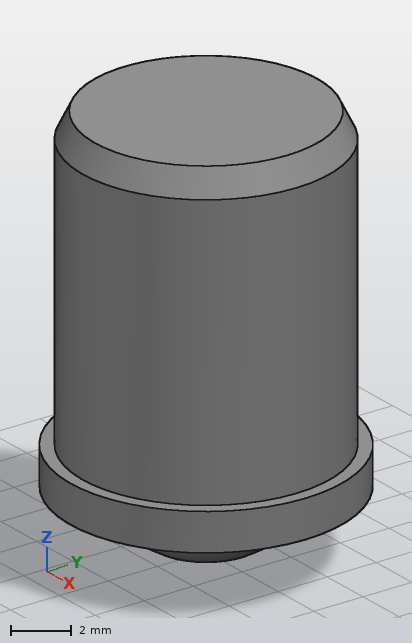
import cadquery as cq

total_height = 15.88
ball_protrusion = 2.38
body_top = total_height - ball_protrusion

body_radius = 10.0 / 2
lead_in_height = 1.0
lead_in_width = 0.5

flange_radius = 11.0 / 2
flange_thickness = 1.5

ball_radius = 8.51 / 2
ball_center_z = ball_radius - ball_protrusion


def make_sleeve():
    """Revolve the half section of the flanged sleeve about Z."""
    return (
        cq.Workplane("XZ")
        .lineTo(flange_radius, 0)
        .lineTo(flange_radius, flange_thickness)
        .lineTo(body_radius, flange_thickness)
        .lineTo(body_radius, body_top - lead_in_height)
        .lineTo(body_radius - lead_in_width, body_top)
        .lineTo(0, body_top)
        .close()
        .revolve(360, (0, 0, 0), (0, 1, 0))
    )


def make_ball():
    return cq.Workplane("XY").sphere(ball_radius).translate((0, 0, ball_center_z))


result = make_sleeve().union(make_ball())